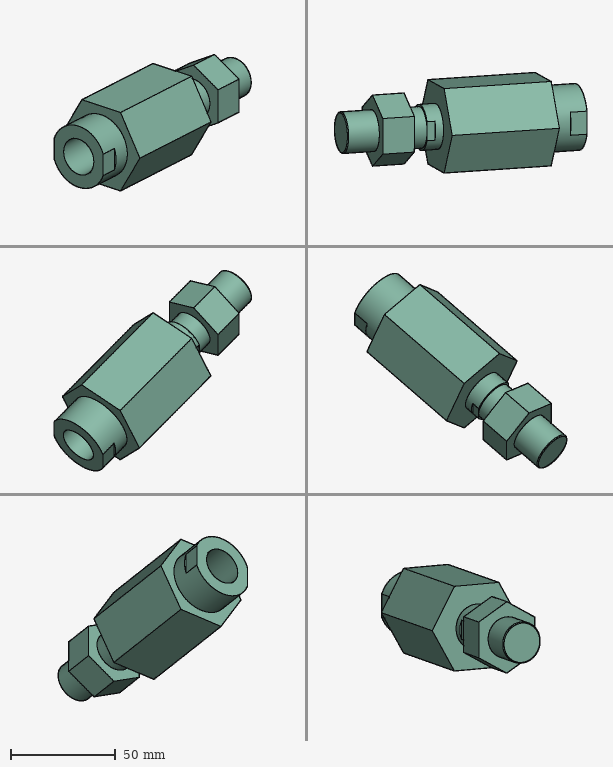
import cadquery as cq
import math

overall_length = 119.0

neck_length = 17.0
neck_diameter = 32.0
neck_flat_length = neck_length / 2
neck_across_flats = 30.0
barrel_length = 54.0
barrel_across_flats = 41.0
collar_length = 8.0
collar_diameter = 22.0
stud_diameter = 20.0
collar_flat_length = collar_length / 2
collar_across_flats = stud_diameter
stud_chamfer = 0.5

bore_diameter = 18.5
bore_depth = 40.0
drill_point_angle = 118.0

nut_length = 16.0
nut_across_flats = 30.0

barrel_start = neck_length
collar_start = barrel_start + barrel_length
stud_start = collar_start + collar_length
nut_start = overall_length - 2 * nut_length


def section_plane(y):
    """Plane across the axis with local x along -X, local y along Z and its normal along +Y."""
    return cq.Workplane(cq.Plane(origin=(0, y, 0), xDir=(-1, 0, 0), normal=(0, 1, 0)))


def cylinder(start, length, diameter):
    return section_plane(start).circle(diameter / 2).extrude(length)


def hexagon(start, length, across_flats, turn=0):
    """Hexagonal prism with two corners on X, turned about Y by the given angle."""
    across_corners = across_flats / math.cos(math.pi / 6)
    prism = section_plane(start).polygon(6, across_corners).extrude(length)
    return prism.rotate((0, 0, 0), (0, 1, 0), turn)


def flatted_cylinder(start, length, diameter, flat_length, across_flats, flat_start):
    """Cylinder with a pair of wrench flats facing -X and +X."""
    body = cylinder(start, length, diameter)
    flat_zone = cylinder(flat_start, flat_length, diameter)
    kept = section_plane(flat_start).rect(across_flats, diameter).extrude(flat_length)
    return body.cut(flat_zone.cut(kept))


def blind_bore():
    radius = bore_diameter / 2
    point_length = radius / math.tan(math.radians(drill_point_angle / 2))
    profile = [(0, 0), (radius, 0), (radius, bore_depth), (0, bore_depth + point_length)]
    return cq.Workplane("XY").polyline(profile).close().revolve(360, (0, 0), (0, 1))


def make_housing():
    neck = flatted_cylinder(0, neck_length, neck_diameter, neck_flat_length, neck_across_flats, 0)
    barrel = hexagon(barrel_start, barrel_length, barrel_across_flats)
    collar = flatted_cylinder(
        collar_start,
        collar_length,
        collar_diameter,
        collar_flat_length,
        collar_across_flats,
        stud_start - collar_flat_length,
    )
    stud = cylinder(stud_start, overall_length - stud_start, stud_diameter)
    stud = stud.faces(">Y").chamfer(stud_chamfer)
    return neck.union(barrel).union(collar).union(stud).cut(blind_bore())


def make_nut():
    blank = hexagon(nut_start, nut_length, nut_across_flats, turn=30)
    return blank.cut(cylinder(nut_start, nut_length, stud_diameter))


housing = make_housing()
nut = make_nut()

result = cq.Compound.makeCompound([housing.val(), nut.val()])